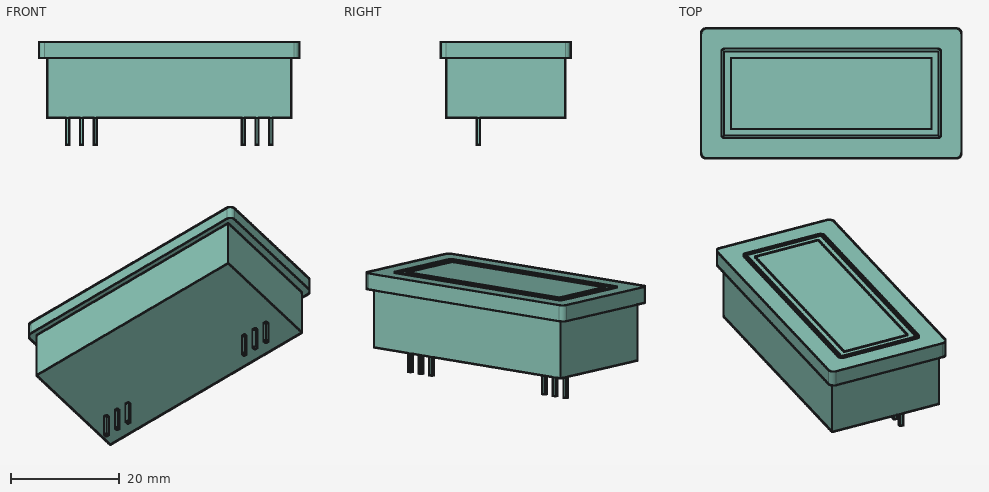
import cadquery as cq

bezel_length = 48.0
bezel_width = 24.0
total_height = 19.0
bezel_corner_radius = 1.0

housing_length = 45.0
housing_width = 22.0
housing_height = 11.0
pin_length = 5.0
bezel_thickness = total_height - housing_height - pin_length

opening_length = 40.5
opening_width = 16.5
opening_corner_radius = 0.7
gap_width = 0.55
lens_length = opening_length - 2 * gap_width
lens_width = opening_width - 2 * gap_width
gap_depth = 0.1

screen_length = 36.95
screen_width = 13.05
screen_depth = 0.1

pin_side = 0.6
pin_pitch = 2.55
pins_per_group = 3
outer_pin_x = 18.7
pin_row_y = -5.05

housing_bottom = pin_length
bezel_bottom = housing_bottom + housing_height
bezel_top = total_height


def block(length, width, bottom, height):
    """Box centred on the Z axis, standing on the given level."""
    return cq.Workplane("XY").workplane(offset=bottom).rect(length, width).extrude(height)


def make_bezel():
    plate = block(bezel_length, bezel_width, bezel_bottom, bezel_thickness)
    return plate.edges("|Z").fillet(bezel_corner_radius)


def make_window_gap():
    """Ring-shaped groove between the bezel opening and the lens."""
    opening = block(opening_length, opening_width, bezel_top - gap_depth, gap_depth)
    opening = opening.edges("|Z").fillet(opening_corner_radius)
    lens = block(lens_length, lens_width, bezel_top - gap_depth, gap_depth)
    return opening.cut(lens)


def make_screen_recess():
    return block(screen_length, screen_width, bezel_top - screen_depth, screen_depth)


def make_pins():
    centres = [
        (side * (outer_pin_x - index * pin_pitch), pin_row_y)
        for side in (-1, 1)
        for index in range(pins_per_group)
    ]
    return cq.Workplane("XY").pushPoints(centres).rect(pin_side, pin_side).extrude(pin_length)


housing = block(housing_length, housing_width, housing_bottom, housing_height)
result = make_bezel().union(housing).union(make_pins())
result = result.cut(make_window_gap()).cut(make_screen_recess())